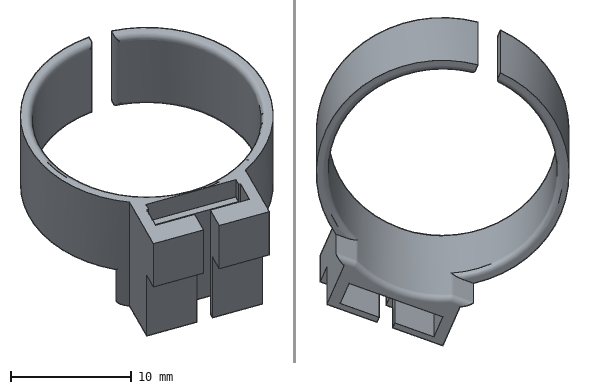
import cadquery as cq
import math

outer_radius = 10.5
wall = 1.0
inner_radius = outer_radius - wall
ring_height = 8.0
opening_width = 2.0
edge_radius = 0.5

total_height = 12.0
lip_height = 5.0
block_half_width = 5.2
opening_half_width = opening_width / 2
opening_x = -math.sqrt(outer_radius**2 - opening_half_width**2)
overall_length = 24.95
block_end_x = opening_x + overall_length
lower_end_x = 13.0
skirt_start_x = 8.5

slot_start_x = outer_radius
slot_end_x = 12.5
slot_half_width = 4.2
gap_half_width = 0.7

recess_width = 0.6
recess_start_x = slot_start_x - recess_width
recess_half_width = 4.02
recess_depth = 2.0


def box(x_start, x_end, half_width, z_bottom, z_top=0.0):
    """Box centred on the XZ plane."""
    return (
        cq.Workplane("XY", origin=(0, 0, z_bottom))
        .center((x_start + x_end) / 2, 0)
        .rect(x_end - x_start, 2 * half_width)
        .extrude(z_top - z_bottom)
    )


def cylinder(radius, height):
    """Cylinder hanging below the top face."""
    return cq.Workplane("XY").circle(radius).extrude(-height)


def make_ring():
    """Ring with rounded bore rims and rounded inner corners at the -X opening."""
    tube = cylinder(outer_radius, ring_height).cut(cylinder(inner_radius, ring_height))
    rims = tube.edges(cq.selectors.RadiusNthSelector(0))
    rounded_tube = rims.fillet(edge_radius)

    split_tube = tube.cut(box(-outer_radius, 0, opening_half_width, -ring_height))
    inner_end_x = -math.sqrt(inner_radius**2 - opening_half_width**2)
    for end_y in (-opening_half_width, opening_half_width):
        inner_corner = (inner_end_x, end_y, -ring_height / 2)
        corner_edge = cq.selectors.NearestToPointSelector(inner_corner)
        split_tube = split_tube.edges(corner_edge).fillet(edge_radius)
    return rounded_tube.intersect(split_tube)


def make_holder():
    """Skirt and block outside the bore, stepped back below the lip."""
    skirt = cylinder(outer_radius, total_height).intersect(
        box(skirt_start_x, outer_radius, outer_radius, -total_height)
    )
    block = box(skirt_start_x, lower_end_x, block_half_width, -total_height)
    lip = box(skirt_start_x, block_end_x, block_half_width, -lip_height)
    holder = skirt.union(block).union(lip)
    holder = holder.cut(cylinder(inner_radius, total_height))

    bore_corner_y = math.sqrt(inner_radius**2 - skirt_start_x**2)
    for corner_y in (-bore_corner_y, bore_corner_y):
        bore_corner = (skirt_start_x, corner_y, -total_height / 2)
        corner_edge = cq.selectors.NearestToPointSelector(bore_corner)
        holder = holder.edges(corner_edge).fillet(edge_radius)
    middle_of_bottom_edge = (inner_radius, 0, -total_height)
    bottom_edge = cq.selectors.NearestToPointSelector(middle_of_bottom_edge)
    holder = holder.edges(bottom_edge).fillet(edge_radius)

    return holder.cut(cylinder(outer_radius, lip_height))


def make_slot():
    """Strap slot through the full height, with its gap to the +X side and its recess."""
    slot = box(slot_start_x, slot_end_x, slot_half_width, -total_height)
    gap = box(slot_end_x, block_end_x, gap_half_width, -total_height)
    recess = box(recess_start_x, slot_start_x, recess_half_width, -recess_depth)
    return slot.union(gap).union(recess)


result = make_ring().union(make_holder()).cut(make_slot()).clean()